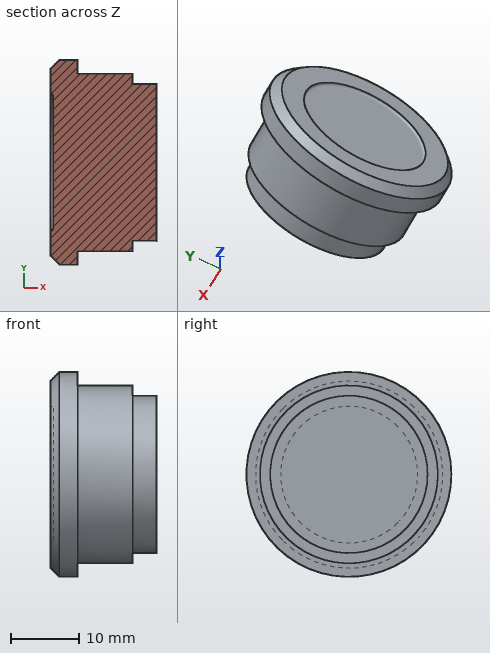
import cadquery as cq

flange_diameter = 30.0
flange_thickness = 4.0
flange_chamfer = 1.32
body_diameter = 26.0
body_end = 12.0
spigot_diameter = 23.0
total_length = 15.5
recess_diameter = 20.0
recess_depth = 0.4


def disc(diameter, start, end):
    """Cylinder on the X axis between two X positions."""
    return cq.Workplane("YZ", origin=(start, 0, 0)).circle(diameter / 2).extrude(end - start)


flange = disc(flange_diameter, 0, flange_thickness).faces("<X").chamfer(flange_chamfer)
body = disc(body_diameter, flange_thickness, body_end)
spigot = disc(spigot_diameter, body_end, total_length)

floor_radius = recess_diameter / 2 - recess_depth
recess = (
    cq.Workplane("XY")
    .lineTo(recess_depth, 0)
    .lineTo(recess_depth, floor_radius)
    .radiusArc((0, recess_diameter / 2), -recess_depth)
    .close()
    .revolve(360, (0, 0, 0), (1, 0, 0))
)

result = flange.union(body).union(spigot).cut(recess)